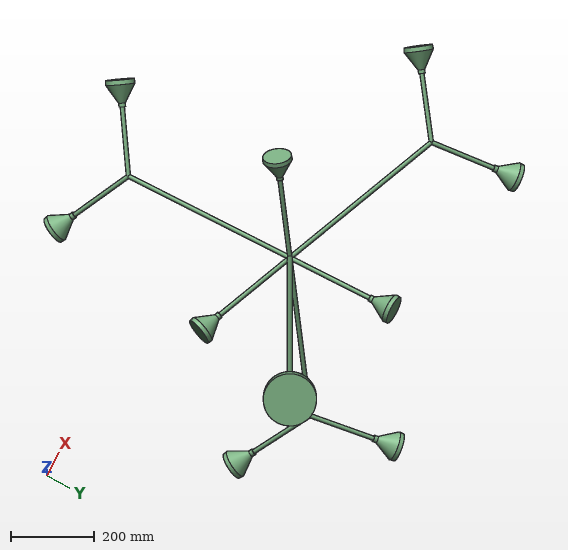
import cadquery as cq
import math

base_diameter = 128.0
base_height = 27.0
collar_diameter = 20.0
collar_height = 27.0
pole_diameter = 13.0

bar_count = 3
first_bar_heading = 24.6
bar_slope = 19.3
bar_diameter = 11.0
hub_height = 1602.0
bar_upper_length = 445.0
bar_lower_length = 286.0

fork_angle = 60.0
twig_length = 231.0

shade_diameter = 71.0
shade_mouth_diameter = 70.0
shade_neck_diameter = 16.0
shade_length = 57.0
shade_rim_height = 11.0
shade_neck_length = 10.0

origin = cq.Vector(0, 0, 0)
hub = cq.Vector(0, 0, hub_height)


def bar_direction(heading):
    """Unit vector along the rising half of a bar."""
    level = math.cos(math.radians(bar_slope))
    rise = math.sin(math.radians(bar_slope))
    turn = math.radians(heading)
    return cq.Vector(level * math.cos(turn), level * math.sin(turn), rise)


def twig_direction(heading, angle):
    """Unit vector at an angle to the bar, towards its level sideways direction."""
    turn = math.radians(heading)
    sideways = cq.Vector(-math.sin(turn), math.cos(turn), 0)
    along = bar_direction(heading) * math.cos(math.radians(angle))
    return along + sideways * math.sin(math.radians(angle))


def rod(start, direction, length, diameter):
    return cq.Solid.makeCylinder(diameter / 2, length, start, direction)


def ball_joint(center):
    """Rounds off the meeting of bars at a fork or at the hub."""
    return cq.Workplane().sphere(bar_diameter / 2).translate(center.toTuple()).val()


def shade(start, direction, reach):
    """Neck sleeve and cone; the rim tapers to a flat closed mouth at the given reach along the rod."""
    neck = start + direction * (reach - shade_length)
    rim = start + direction * (reach - shade_rim_height)
    cone_length = shade_length - shade_rim_height
    neck_radius = shade_neck_diameter / 2
    rim_radius = shade_diameter / 2
    mouth_radius = shade_mouth_diameter / 2
    cone = cq.Solid.makeCone(neck_radius, rim_radius, cone_length, neck, direction)
    taper = cq.Solid.makeCone(rim_radius, mouth_radius, shade_rim_height, rim, direction)
    sleeve = rod(neck, direction * -1, shade_neck_length, shade_neck_diameter)
    return cone.fuse(taper, sleeve)


def lamp(start, direction, reach):
    """Rod with a shade on its end; the rod stops inside the shade."""
    rod_length = reach - shade_length / 2
    return [rod(start, direction, rod_length, bar_diameter), shade(start, direction, reach)]


def branch(heading):
    """One bar through the hub: a lamp on its low end and a two-lamp fork on its high end."""
    direction = bar_direction(heading)
    fork = hub + direction * bar_upper_length
    pieces = [rod(hub, direction, bar_upper_length, bar_diameter), ball_joint(fork)]
    pieces += lamp(hub, direction * -1, bar_lower_length)
    for angle in (-fork_angle, fork_angle):
        pieces += lamp(fork, twig_direction(heading, angle), twig_length)
    return pieces


def stand():
    up = cq.Vector(0, 0, 1)
    return [
        rod(origin, up, base_height, base_diameter),
        rod(origin, up, base_height + collar_height, collar_diameter),
        rod(origin, up, hub_height, pole_diameter),
        ball_joint(hub),
    ]


pieces = stand()
for index in range(bar_count):
    pieces += branch(first_bar_heading + index * 360 / bar_count)

result = cq.Workplane(pieces[0].fuse(*pieces[1:]))